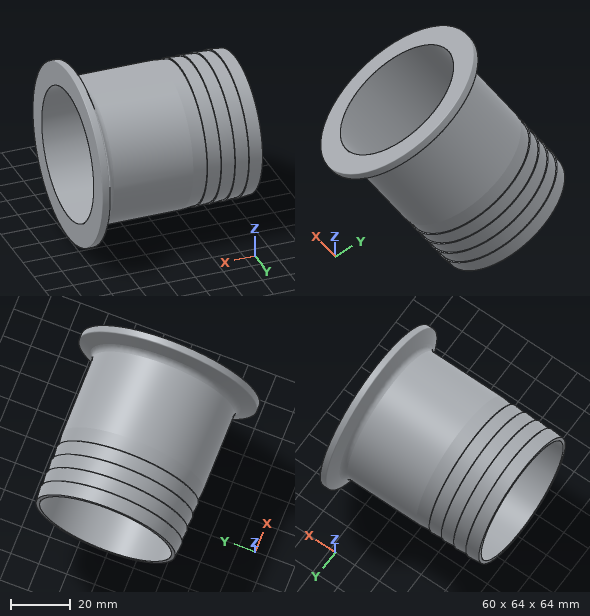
import cadquery as cq
import math

length = 60.0
flange_radius = 32.0
tube_radius = 25.5
bore_radius = 23.6

barb_count = 5
barb_pitch = 5.0
barb_root_radius = 24.95

rim_width = 2.6
rim_back_radius = 0.5
rim_front_radius = 0.25
cone_angle = 21.0
neck_fillet = 2.25

cone_width = (flange_radius - tube_radius) * math.tan(math.radians(cone_angle))
rim_start = length - rim_width
cone_start = rim_start - cone_width


def revolve_about_x(profile):
    return profile.close().revolve(360, (0, 0, 0), (1, 0, 0))


def make_barbs():
    profile = cq.Workplane("XY").moveTo(0, 0)
    for index in range(barb_count):
        profile = profile.lineTo(index * barb_pitch, barb_root_radius)
        profile = profile.lineTo((index + 1) * barb_pitch, tube_radius)
    profile = profile.lineTo(barb_count * barb_pitch, 0)
    return revolve_about_x(profile)


def make_tube_and_flange():
    profile = (
        cq.Workplane("XY")
        .moveTo(barb_count * barb_pitch, 0)
        .lineTo(barb_count * barb_pitch, tube_radius)
        .lineTo(cone_start, tube_radius)
        .lineTo(rim_start, flange_radius)
        .lineTo(length, flange_radius)
        .lineTo(length, 0)
    )
    body = revolve_about_x(profile)
    neck_center = (cone_start, 0, 0)
    body = body.edges(cq.NearestToPointSelector(neck_center)).fillet(neck_fillet)
    rim_back_center = (rim_start, 0, 0)
    body = body.edges(cq.NearestToPointSelector(rim_back_center)).fillet(rim_back_radius)
    return body.faces(">X").edges().fillet(rim_front_radius)


def make_bore():
    return cq.Workplane("YZ").circle(bore_radius).extrude(length)


result = make_barbs().union(make_tube_and_flange()).cut(make_bore())